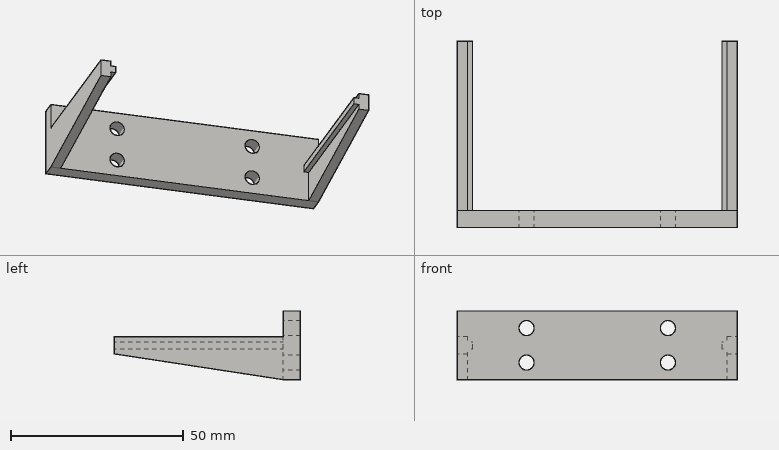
import cadquery as cq

plate_width = 81.3
plate_thickness = 5.0
plate_height = 20.0

hole_diameter = 4.3
hole_spacing_x = 41.0
hole_spacing_z = 10.0

total_depth = 54.07
arm_top = 12.5
arm_tip_height = 5.0
arm_width = 3.0

ledge_width = 1.5
ledge_height = 2.0
ledge_drop = 1.5


def make_plate():
    """Upright plate with four through holes."""
    plate = cq.Workplane("XY").box(
        plate_width, plate_thickness, plate_height, centered=(True, False, False)
    )
    holes = (
        cq.Workplane("XZ", origin=(0, 0, plate_height / 2))
        .rarray(hole_spacing_x, hole_spacing_z, 2, 2)
        .circle(hole_diameter / 2)
        .extrude(-plate_thickness)
    )
    return plate.cut(holes)


def make_left_arm():
    """Arm at the -X end: flat top, sloped underside, ledge on the inner face."""
    outer_x = -plate_width / 2
    arm = (
        cq.Workplane("YZ", origin=(outer_x, 0, 0))
        .moveTo(plate_thickness, 0)
        .lineTo(total_depth, arm_top - arm_tip_height)
        .lineTo(total_depth, arm_top)
        .lineTo(plate_thickness, arm_top)
        .close()
        .extrude(arm_width)
    )
    arm_length = total_depth - plate_thickness
    ledge_bottom = arm_top - ledge_drop - ledge_height
    ledge = (
        cq.Workplane("XY")
        .box(ledge_width, arm_length, ledge_height, centered=False)
        .translate((outer_x + arm_width, plate_thickness, ledge_bottom))
    )
    return arm.union(ledge)


left_arm = make_left_arm()
right_arm = left_arm.mirror("YZ")
result = make_plate().union(left_arm).union(right_arm)